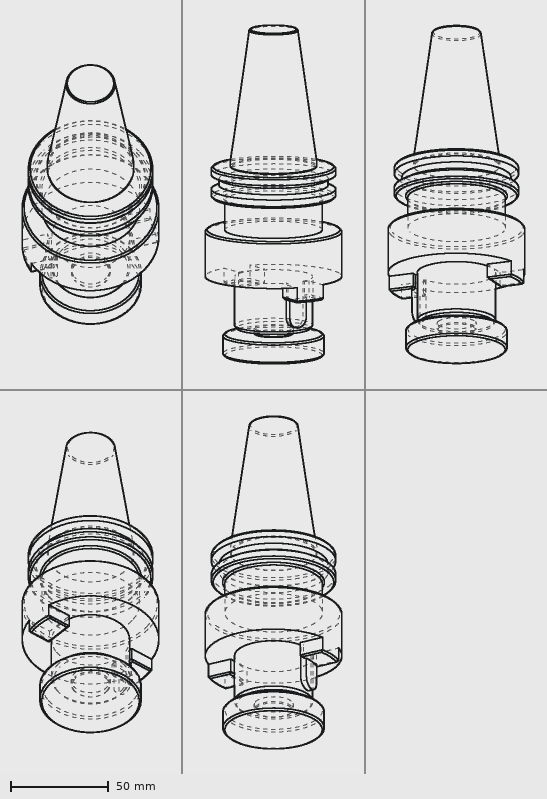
import cadquery as cq

height = 169.4
edge = 1.0

head_radius = 26.0
head_top = 11.0
stem_radius = 10.0
stem_relief = 0.5

spigot_radius = 20.0
spigot_bottom = 14.2
spigot_chamfer_height = 1.5

collar_diameter = 70.0
collar_radius = collar_diameter / 2
collar_bottom = 41.0
collar_top = 65.2
tenon_width = 16.0
tenon_bottom = 33.0
tenon_inner = 20.7
tenon_side_chamfer = 0.5

neck_diameter = 50.0
neck_radius = neck_diameter / 2
neck_flare = 1.0
flange_radius = 31.8
flange_bottom = 82.0
flange_top = 97.9
groove_radius = 28.0
groove_floor_bottom = 88.5
groove_floor_top = 91.8
groove_flank_height = 2.0

gauge_radius = 22.2
gauge_top = 100.8
relief = 0.5
taper_tip_radius = 12.5
tip_chamfer = 0.7

key_width = 10.0
key_bottom = 17.6
key_face = 22.7
key_seat = 16.1


def turned_body():
    """Revolve the half profile, listed as (radius, height) from the screw head upward."""
    profile = [
        (0, 0),
        (head_radius - edge, 0),
        (head_radius, edge),
        (head_radius, head_top - edge),
        (head_radius - edge, head_top),
        (stem_radius - stem_relief, head_top),
        (stem_radius, head_top + stem_relief),
        (stem_radius, spigot_bottom),
        (spigot_radius - edge, spigot_bottom),
        (spigot_radius, spigot_bottom + spigot_chamfer_height),
        (spigot_radius, collar_bottom),
        (collar_radius, collar_bottom),
        (collar_radius, collar_top - edge),
        (collar_radius - edge, collar_top),
        (neck_radius, collar_top),
        (neck_radius, flange_bottom - neck_flare),
        (neck_radius + neck_flare, flange_bottom),
        (flange_radius - edge, flange_bottom),
        (flange_radius, flange_bottom + edge),
        (flange_radius, groove_floor_bottom - groove_flank_height),
        (groove_radius, groove_floor_bottom),
        (groove_radius, groove_floor_top),
        (flange_radius, groove_floor_top + groove_flank_height),
        (flange_radius, flange_top - edge),
        (flange_radius - edge, flange_top),
        (gauge_radius - relief, flange_top),
        (gauge_radius, flange_top + relief),
        (gauge_radius, gauge_top),
        (taper_tip_radius, height - tip_chamfer),
        (taper_tip_radius - tip_chamfer, height),
        (0, height),
    ]
    return cq.Workplane("XZ").polyline(profile).close().revolve(360, (0, 0), (0, 1))


def tenons():
    """Two opposed drive tenons, rounded outside to the collar and chamfered around the bottom."""
    tenon_height = collar_top - edge - tenon_bottom
    envelope = (
        cq.Workplane("XY", origin=(0, 0, tenon_bottom))
        .circle(collar_radius)
        .extrude(tenon_height)
        .faces("<Z")
        .chamfer(edge)
    )
    bottom_half_width = tenon_width / 2 - tenon_side_chamfer
    section = [
        (-bottom_half_width, tenon_bottom),
        (bottom_half_width, tenon_bottom),
        (tenon_width / 2, tenon_bottom + edge),
        (tenon_width / 2, tenon_bottom + tenon_height),
        (-tenon_width / 2, tenon_bottom + tenon_height),
        (-tenon_width / 2, tenon_bottom + edge),
    ]
    bar = cq.Workplane("XZ").polyline(section).close().extrude(collar_radius, both=True)
    gap = (
        cq.Workplane("YZ")
        .polyline([
            (-tenon_inner - edge, tenon_bottom),
            (tenon_inner + edge, tenon_bottom),
            (tenon_inner, tenon_bottom + edge),
            (tenon_inner, tenon_bottom + tenon_height),
            (-tenon_inner, tenon_bottom + tenon_height),
            (-tenon_inner, tenon_bottom + edge),
        ])
        .close()
        .extrude(tenon_width, both=True)
    )
    return bar.intersect(envelope).cut(gap)


def feather_key():
    """Flat-faced key on the -Y side with a round lower end, running up into the collar."""
    key_radius = key_width / 2
    round_center = key_bottom + key_radius
    return (
        cq.Workplane("XZ", origin=(0, -key_seat, 0))
        .moveTo(-key_radius, collar_bottom)
        .lineTo(-key_radius, round_center)
        .threePointArc((0, key_bottom), (key_radius, round_center))
        .lineTo(key_radius, collar_bottom)
        .close()
        .extrude(key_face - key_seat)
    )


result = turned_body().union(tenons()).union(feather_key())